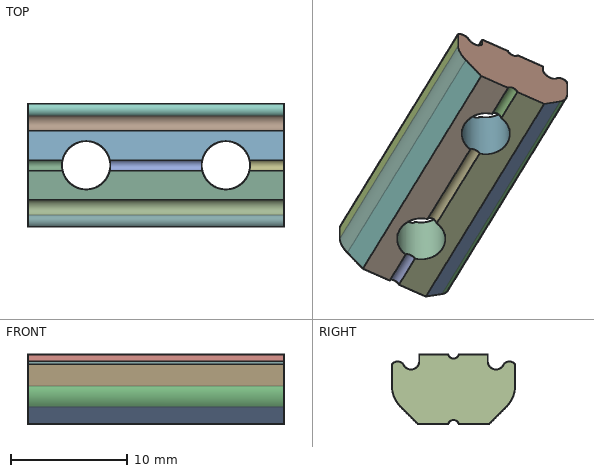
import cadquery as cq
import math

length = 22.0
width = 10.6
height = 6.0
half_width = width / 2

bottom_half_width = 3.05
flank_radius = 2.5
flank_angle = math.radians(45)

land_half_width = 2.95
lip_radius = 0.6
lip_center_y = 4.8
lip_center_z = 4.8
valley_radius = 0.7

groove_half_width = 0.45
groove_depth = 0.35

hole_diameter = 4.13
hole_spacing = 12.0

flank_corner_z = (half_width - bottom_half_width) / math.tan(flank_angle)
flank_tangent_length = flank_radius * math.tan(flank_angle / 2)
flank_top_z = flank_corner_z + flank_tangent_length
flank_bottom_y = half_width - flank_tangent_length * math.sin(flank_angle)
flank_bottom_z = flank_corner_z - flank_tangent_length * math.cos(flank_angle)
flank_center_y = half_width - flank_radius

valley_center_y = land_half_width + valley_radius
centers_distance = lip_radius + valley_radius
valley_to_lip_y = lip_center_y - valley_center_y
valley_center_z = lip_center_z + math.sqrt(centers_distance**2 - valley_to_lip_y**2)
valley_fraction = valley_radius / centers_distance
blend_y = valley_center_y + valley_fraction * valley_to_lip_y
blend_z = valley_center_z + valley_fraction * (lip_center_z - valley_center_z)
lip_edge_z = lip_center_z + math.sqrt(lip_radius**2 - (half_width - lip_center_y) ** 2)


def make_bar():
    """Extrude the +Y half of the cross-section along X and mirror it to the full bar."""
    flank_middle = (
        flank_center_y + flank_radius * math.cos(flank_angle / 2),
        flank_top_z - flank_radius * math.sin(flank_angle / 2),
    )
    half_bar = (
        cq.Workplane("YZ", origin=(-length / 2, 0, 0))
        .moveTo(0, 0)
        .lineTo(bottom_half_width, 0)
        .lineTo(flank_bottom_y, flank_bottom_z)
        .threePointArc(flank_middle, (half_width, flank_top_z))
        .lineTo(half_width, lip_edge_z)
        .threePointArc((lip_center_y, lip_center_z + lip_radius), (blend_y, blend_z))
        .threePointArc(
            (valley_center_y, valley_center_z - valley_radius),
            (land_half_width, valley_center_z),
        )
        .lineTo(land_half_width, height)
        .lineTo(0, height)
        .close()
        .extrude(length)
    )
    return half_bar.union(half_bar.mirror("XZ"))


def make_groove(face_z, inward):
    """Arc-bottomed groove cutter; inward is +1 or -1, the Z direction into the bar."""
    return (
        cq.Workplane("YZ", origin=(-length / 2, 0, face_z))
        .moveTo(-groove_half_width, 0)
        .threePointArc((0, inward * groove_depth), (groove_half_width, 0))
        .close()
        .extrude(length)
    )


def make_holes():
    """Cutters for the two holes, running through the full height."""
    return (
        cq.Workplane("XY")
        .pushPoints([(-hole_spacing / 2, 0), (hole_spacing / 2, 0)])
        .circle(hole_diameter / 2)
        .extrude(height)
    )


bar = make_bar()
for face_z, inward in ((0, 1), (height, -1)):
    bar = bar.cut(make_groove(face_z, inward))
result = bar.cut(make_holes())